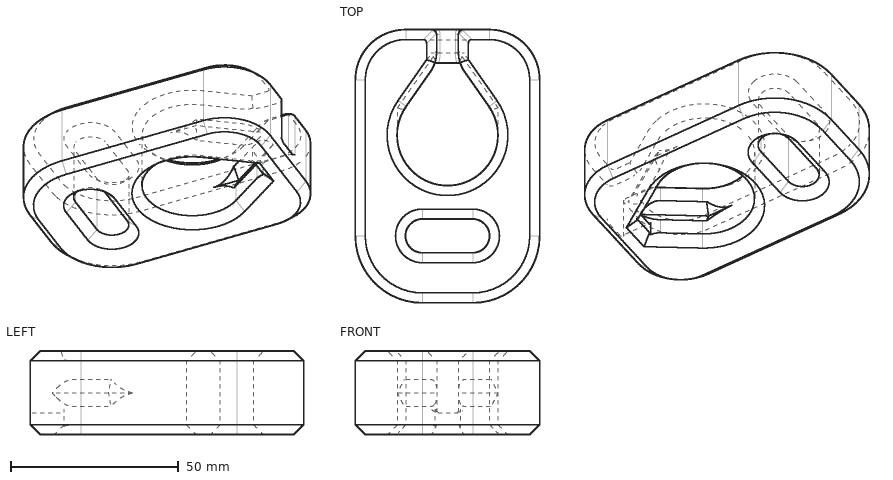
import cadquery as cq
import math

thickness = 25.0
edge_chamfer = 3.0
chamfer_angle = 45.0
half_width = 27.5
top_corner_radius = 15.0
bottom_corner_radius = 20.0
back_y = 31.51
front_y = -50.0

hole_radius = 15.0
neck_half_width = 3.25
neck_length = 10.0
neck_start_y = back_y - neck_length
neck_floor_z = 6.5
neck_floor_fillet = 1.0
neck_mouth_fillet = 1.5
neck_root_fillet = 10.0

strap_y = -30.0
strap_length = 25.0
strap_width = 10.0

groove_depth = 2.0
groove_half_height = 4.0

overrun = 5.0

selection_margin = 0.5

neck_distance = math.hypot(neck_half_width, neck_start_y)
tangent_angle = math.atan2(neck_start_y, neck_half_width) - math.acos(hole_radius / neck_distance)


def slanted_wall_x(offset, y):
    """X, at the given Y, of the slanted wall line lying `offset` from the hole centre."""
    return (offset - y * math.sin(tangent_angle)) / math.cos(tangent_angle)


def slanted_wall_y(offset, x):
    """Y, at the given X, of the slanted wall line lying `offset` from the hole centre."""
    return (offset - x * math.cos(tangent_angle)) / math.sin(tangent_angle)


def make_block():
    block = (
        cq.Workplane("XY")
        .center(0, (back_y + front_y) / 2)
        .rect(2 * half_width, back_y - front_y)
        .extrude(thickness)
    )
    block = block.edges("|Z and >Y").fillet(top_corner_radius)
    block = block.edges("|Z and <Y").fillet(bottom_corner_radius)
    return block.faces("<Z or >Z").edges().chamfer(edge_chamfer)


def teardrop_outline(plane_z, growth, end_points):
    """Hole outline at a height, grown outwards; end_points lead from its +Y end to the right tangent."""
    radius = hole_radius + growth
    touch_x = radius * math.cos(tangent_angle)
    touch_y = radius * math.sin(tangent_angle)
    mirrored_points = [(-x, y) for x, y in reversed(end_points)]
    return (
        cq.Workplane("XY", origin=(0, 0, plane_z))
        .polyline(end_points + [(touch_x, touch_y)])
        .threePointArc((0, -radius), (-touch_x, touch_y))
        .polyline(mirrored_points, includeCurrent=True)
        .close()
    )


def open_outline(plane_z, growth):
    """Teardrop whose neck runs out through the back of the block."""
    neck_x = neck_half_width + growth
    bend_y = slanted_wall_y(hole_radius + growth, neck_x)
    return teardrop_outline(plane_z, growth, [(neck_x, back_y + overrun), (neck_x, bend_y)])


def closed_outline(plane_z, growth):
    """Teardrop cut off flat at the start of the neck."""
    end_y = neck_start_y + growth
    end_x = slanted_wall_x(hole_radius + growth, end_y)
    return teardrop_outline(plane_z, growth, [(end_x, end_y)])


def make_teardrop_walls(bottom_z):
    """Upright walls of the hole and neck, from a height up to the top face."""
    walls = open_outline(bottom_z, 0).extrude(thickness - bottom_z)
    neck_roots = cq.selectors.BoxSelector(
        (-2 * neck_half_width, neck_start_y - selection_margin, 0),
        (2 * neck_half_width, neck_start_y + selection_margin, thickness),
    )
    return walls.edges("|Z").edges(neck_roots).fillet(neck_root_fillet)


def make_flare(outline, face_z, wall_z):
    """Chamfer cutter from an outline grown on the face down to the same outline on the walls."""
    face_wire = outline(face_z, edge_chamfer).val()
    wall_wire = outline(wall_z, 0).val()
    return cq.Workplane(cq.Solid.makeLoft([face_wire, wall_wire], True))


def make_teardrop():
    """Hole and neck, flaring out at both faces, with the bridge left standing under the neck."""
    bridge = (
        cq.Workplane("XY")
        .box(2 * half_width, neck_length + overrun, neck_floor_z, centered=(True, False, False))
        .translate((0, neck_start_y, 0))
    )
    top_flare = make_flare(open_outline, thickness, thickness - edge_chamfer)
    bottom_flare = make_flare(closed_outline, 0, edge_chamfer)
    return make_teardrop_walls(0).cut(bridge).union(top_flare).union(bottom_flare)


def make_groove():
    """Double-tapered wedge whose rim cuts the V groove."""
    rim_offset = hole_radius + groove_depth
    taper = math.degrees(math.atan(groove_depth / groove_half_height))
    rim = (
        cq.Workplane("XY", origin=(0, 0, thickness / 2))
        .moveTo(-hole_radius, 0)
        .lineTo(hole_radius, 0)
        .lineTo(hole_radius, slanted_wall_y(rim_offset, hole_radius))
        .lineTo(0, slanted_wall_y(rim_offset, 0))
        .lineTo(-hole_radius, slanted_wall_y(rim_offset, hole_radius))
        .close()
    )
    upper = rim.extrude(groove_half_height, taper=taper)
    return upper.union(upper.mirror("XY", (0, 0, thickness / 2)))


def make_strap_slot():
    """Obround through slot, flaring out at both faces."""
    walls = cq.Workplane("XY").center(0, strap_y).slot2D(strap_length, strap_width).extrude(thickness)
    flare = (
        cq.Workplane("XY")
        .center(0, strap_y)
        .slot2D(strap_length + 2 * edge_chamfer, strap_width + 2 * edge_chamfer)
        .extrude(edge_chamfer, taper=chamfer_angle)
    )
    return walls.union(flare).union(flare.mirror("XY", (0, 0, thickness / 2)))


def round_mouth(body):
    """Round the upright and sloping corners where the neck meets the back."""
    mouth_x = neck_half_width + edge_chamfer
    mouth_corners = cq.selectors.BoxSelector(
        (-mouth_x, back_y - edge_chamfer, neck_floor_z + selection_margin),
        (mouth_x, back_y + selection_margin, thickness - selection_margin),
    )
    return body.edges(mouth_corners).edges("not(#Z)").fillet(neck_mouth_fillet)


def make_floor_fillets():
    """Concave fillets between the neck's floor and walls, following the rounded root and mouth."""
    mouth_x = neck_half_width + neck_mouth_fillet
    mouth_y = back_y - neck_mouth_fillet
    mouth_height = thickness - neck_floor_z
    corner_rounds = (
        cq.Workplane("XY", origin=(0, 0, neck_floor_z))
        .pushPoints([(-mouth_x, mouth_y), (mouth_x, mouth_y)])
        .circle(neck_mouth_fillet)
        .extrude(mouth_height)
    )
    mouth = (
        cq.Workplane("XY")
        .box(2 * mouth_x, neck_mouth_fillet + overrun, mouth_height, centered=(True, False, False))
        .translate((0, mouth_y, neck_floor_z))
        .cut(corner_rounds)
    )
    open_space = make_teardrop_walls(neck_floor_z).union(mouth)
    open_space = open_space.faces("<Z").edges().fillet(neck_floor_fillet)
    filler = (
        cq.Workplane("XY")
        .box(2 * mouth_x, neck_length, neck_floor_fillet, centered=(True, False, False))
        .translate((0, neck_start_y, neck_floor_z))
    )
    return filler.cut(open_space)


result = make_block().cut(make_teardrop())
result = result.cut(make_strap_slot())
result = round_mouth(result).union(make_floor_fillets())
result = result.cut(make_groove())